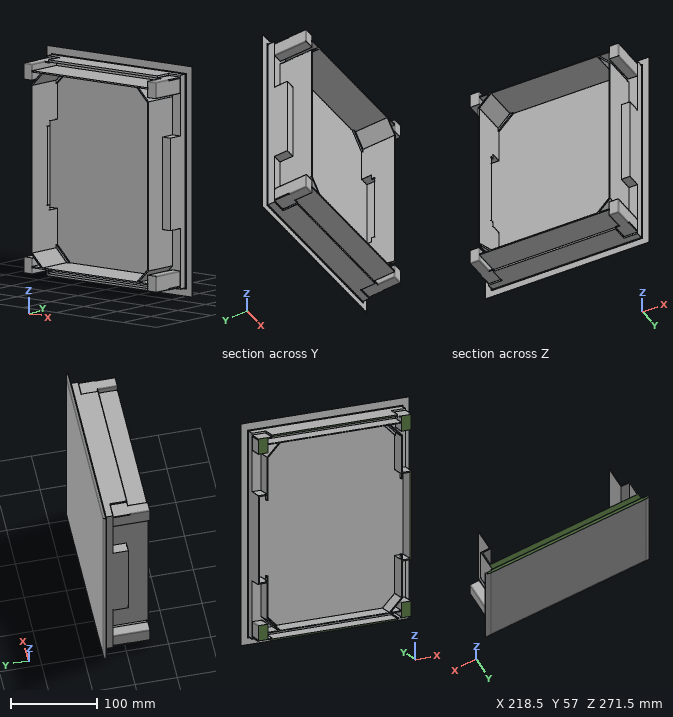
import cadquery as cq
import math

total_depth = 57.0
lip_front = 52.7
flange_front = 53.7
rim_back = 54.7
floor_depth = 46.0
ledge_front = 44.0
plate_front = 24.0
block_front = 26.0

flange_width = 218.5
flange_height = 271.5
dome_width = 6.0
lip_width = 201.5
lip_height = 253.6

box_width = 199.0
box_height = 252.0
plate_thickness = 2.5

tray_width = 176.0
tray_height = 232.0
wall = 1.6
outer_corner_leg = 16.4
inner_corner_leg = 15.7
gusset_leg = 19.5
gusset_thickness = 2.0

block_height = 109.0
block_wall = 2.0
window_step = 4.5
window_end_height = 6.0

post_inner_x = 86.3
post_outer_x = 99.2
post_inner_z = 104.5
post_outer_z = 123.8
post_rounding = 0.8
shelf_width = 18.0
shelf_thickness = 1.5

corners = [(sx, sz) for sx in (-1, 1) for sz in (-1, 1)]
gusset_corners = [(-1, -1), (-1, 1), (1, 1)]


def cuboid(x_range, y_range, z_range):
    """Axis-aligned block spanning three (start, end) pairs given in any order."""
    ranges = (x_range, y_range, z_range)
    sizes = [abs(end - start) for start, end in ranges]
    centre = [(start + end) / 2 for start, end in ranges]
    return cq.Workplane("XY").box(*sizes).translate(tuple(centre))


def centred_cuboid(width, height, y_start, y_end):
    return cuboid((-width / 2, width / 2), (y_start, y_end), (-height / 2, height / 2))


def octagon_points(width, height, leg):
    """Rectangle with its four corners cut at 45 degrees."""
    x, z = width / 2, height / 2
    return [
        (x, leg - z), (x, z - leg), (x - leg, z), (leg - x, z),
        (-x, z - leg), (-x, leg - z), (leg - x, -z), (x - leg, -z),
    ]


def y_plane(y):
    """XZ sketch plane at the given Y; its normal points along -Y."""
    return cq.Workplane("XZ", origin=(0, y, 0))


def domed_bar(plane, width, length):
    """Bar whose back face rolls into its two long rims along arcs tangent to that face."""
    half = width / 2
    flat = half - dome_width
    drop = total_depth - rim_back
    radius = (dome_width ** 2 + drop ** 2) / (2 * drop)
    half_angle = math.asin(dome_width / radius) / 2
    mid_x = flat + radius * math.sin(half_angle)
    mid_y = total_depth - radius * (1 - math.cos(half_angle))
    return (
        plane.moveTo(-half, flange_front).lineTo(half, flange_front).lineTo(half, rim_back)
        .threePointArc((mid_x, mid_y), (flat, total_depth)).lineTo(-flat, total_depth)
        .threePointArc((-mid_x, mid_y), (-half, rim_back)).close()
        .extrude(length / 2, both=True)
    )


def make_cover():
    """Flange with a domed back edge and a low lip that meets the box."""
    side_plane = cq.Workplane(cq.Plane(origin=(0, 0, 0), xDir=(0, 0, 1), normal=(-1, 0, 0)))
    upright_bar = domed_bar(cq.Workplane("XY"), flange_width, flange_height)
    level_bar = domed_bar(side_plane, flange_height, flange_width)
    lip = centred_cuboid(lip_width, lip_height, lip_front, flange_front)
    return upright_bar.intersect(level_bar).union(lip)


def make_tray():
    """Eight-sided outer wall, with the long top and bottom walls run out to the posts."""
    outline = octagon_points(tray_width, tray_height, outer_corner_leg)
    tray = y_plane(ledge_front).polyline(outline).close().extrude(ledge_front)
    outer_z = tray_height / 2
    for side in (-1, 1):
        z_range = (side * (outer_z - wall), side * outer_z)
        tray = tray.union(cuboid((-post_inner_x, post_inner_x), (0, ledge_front), z_range))
    return tray


def make_tray_cavity():
    """Eight-sided tray interior, from the open front to the floor."""
    width = tray_width - 2 * wall
    height = tray_height - 2 * wall
    outline = octagon_points(width, height, inner_corner_leg)
    return y_plane(floor_depth).polyline(outline).close().extrude(floor_depth)


def make_gusset(sx, sz):
    """Low triangle on the tray floor, filling one corner behind the corner wall."""
    x = sx * (tray_width / 2 - wall)
    z = sz * (tray_height / 2 - wall)
    points = [(x, z), (x - sx * gusset_leg, z), (x, z - sz * gusset_leg)]
    return y_plane(floor_depth).polyline(points).close().extrude(gusset_thickness)


def make_plate(side):
    """Thin top or bottom plate, notched at both ends, with a lowered shelf in each notch."""
    outer_z = box_height / 2
    under_z = outer_z - plate_thickness
    outer_x = box_width / 2
    notch_x = outer_x - shelf_width
    y_range = (plate_front, ledge_front)
    plate = cuboid((-notch_x, notch_x), y_range, (side * under_z, side * outer_z))
    shelf_z = (side * (post_outer_z - shelf_thickness), side * post_outer_z)
    for end in (-1, 1):
        plate = plate.union(cuboid((end * notch_x, end * outer_x), y_range, shelf_z))
    return plate


def make_post(sx, sz):
    """Corner post from the ledge to the open front, rounded except on its front edge nearest mid-height."""
    x_range = (sx * post_inner_x, sx * post_outer_x)
    z_range = (sz * post_inner_z, sz * post_outer_z)
    post = cuboid(x_range, (0, ledge_front), z_range)
    sharp_side = "<Z" if sz > 0 else ">Z"
    return post.edges(f"(|Y or <Y) exc (<Y and {sharp_side})").fillet(post_rounding)


def make_block(side):
    x_range = (side * (tray_width / 2 - wall), side * box_width / 2)
    half = block_height / 2
    return cuboid(x_range, (block_front, ledge_front), (-half, half))


def make_block_cavity(side):
    """Hollow of a side block, with a window through the tray wall that is narrower at its ends."""
    half = block_height / 2 - block_wall
    hollow_front = block_front + block_wall
    inner_x = side * (tray_width / 2 - wall)
    outer_x = side * tray_width / 2
    hollow_x = (outer_x, side * (box_width / 2 - block_wall))
    hollow = cuboid(hollow_x, (hollow_front, floor_depth), (-half, half))
    window_x = (inner_x, outer_x)
    window = cuboid(window_x, (hollow_front + window_step, floor_depth), (-half, half))
    middle = half - window_end_height
    wide_window = cuboid(window_x, (hollow_front, floor_depth), (-middle, middle))
    return hollow.union(window).union(wide_window)


def make_box():
    box = centred_cuboid(box_width, box_height, ledge_front, lip_front)
    box = box.union(make_tray())
    for side in (-1, 1):
        box = box.union(make_plate(side)).union(make_block(side))
    for sx, sz in corners:
        box = box.union(make_post(sx, sz))
    box = box.cut(make_tray_cavity())
    for sx, sz in gusset_corners:
        box = box.union(make_gusset(sx, sz))
    for side in (-1, 1):
        box = box.cut(make_block_cavity(side))
    return box


cover = make_cover()
box = make_box()
result = cq.Compound.makeCompound([cover.val(), box.val()])